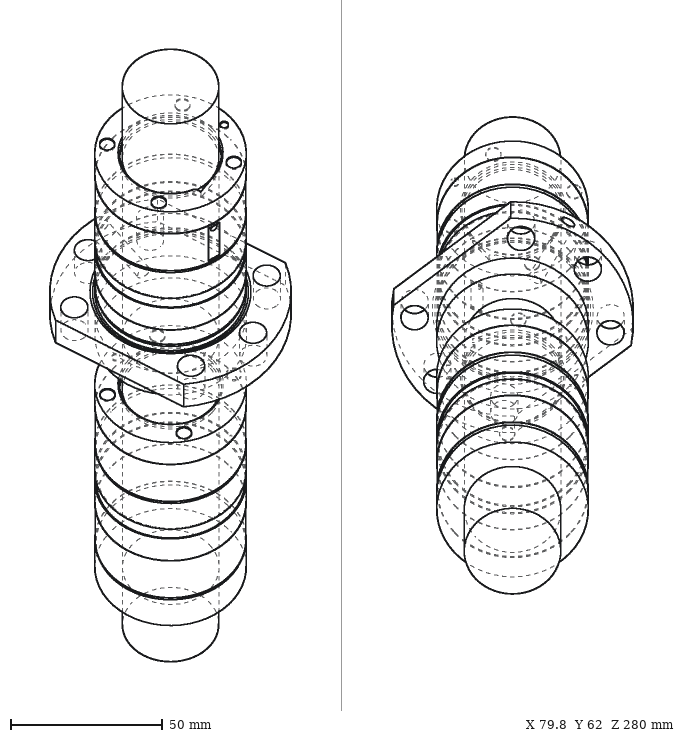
import cadquery as cq
import math

SHAFT_LENGTH = 280.0
SHAFT_DIAMETER = 32.0

FLANGED_NUT_TOP = 245.3
PLAIN_NUT_TOP = 125.2

RING_DIAMETER = 50.0
SLEEVE_DIAMETER = 49.8
SPACER_DIAMETER = 49.3
GROOVE_DIAMETER = 49.3
RING_HEIGHT = 11.5
SLEEVE_HEIGHT = 19.3
GROOVE_HEIGHT = 2.8
SPACER_HEIGHT = 5.0

SEAL_RECESS_DIAMETER = 33.5
SEAL_RECESS_DEPTH = 2.8
SEAL_RIM_DIAMETER = 34.7
SEAL_NOTCH_LENGTH = 8.5
SCREW_COUNT = 4
SCREW_CIRCLE_RADIUS = 21.3
SCREW_RECESS_DIAMETER = 5.0
SCREW_RECESS_DEPTH = 0.5
LOCATING_HOLE_DIAMETER = 2.8
LOCATING_HOLE_DEPTH = 0.5
LOCATING_HOLE_RADIUS = 21.5
LOCATING_HOLE_LEAD = 45.0

FLANGED_NUT_TURN = 22.5
PLAIN_NUT_TURN = 135.0

FLANGE_DIAMETER = 79.8
FLANGE_WIDTH = 62.0
FLANGE_HEIGHT = 11.8
FLANGE_RELIEF_DIAMETER = 53.2
FLANGE_RELIEF_FLOOR_DIAMETER = 51.5
FLANGE_RELIEF_DEPTH = 0.3
BOLT_HOLE_DIAMETER = 9.0
BOLT_CIRCLE_RADIUS = 32.5
BOLT_HOLE_ANGLES = [0, 45, 135, 180, 225, 315]
OIL_HOLE_DIAMETER = 4.8
OIL_HOLE_ANGLE = 157.5

SIDE_SLOT_ANGLE = -21.5
SIDE_SLOT_WIDTH = 4.5
SIDE_SLOT_DEPTH = 0.3
SIDE_SLOT_HEIGHT = 16.8
SIDE_SLOT_MARGIN = 1.7
SIDE_HOLE_DIAMETER = 2.5
SIDE_HOLE_DEPTH = 1.5


def polar(radius, angle):
    """Return the XY point at a radius and an angle in degrees."""
    turn = math.radians(angle)
    return radius * math.cos(turn), radius * math.sin(turn)


def cylinder(diameter, bottom, height):
    """Return an upright cylinder on the shaft axis."""
    return cq.Workplane("XY").workplane(offset=bottom).circle(diameter / 2).extrude(height)


def countersink(top, wide, narrow, depth):
    """Return an upside-down cone frustum that narrows downward from a top level."""
    return (
        cq.Workplane("XY")
        .workplane(offset=top)
        .circle(wide / 2)
        .workplane(offset=-depth)
        .circle(narrow / 2)
        .loft()
    )


def ring_stack(top, layers):
    """Stack cylinders downward from a top level; each layer is (diameter, height)."""
    stack = None
    level = top
    for diameter, height in layers:
        level -= height
        layer = cylinder(diameter, level, height)
        stack = layer if stack is None else stack.union(layer)
    return stack


def groove_ring(top):
    """Return the cutter for a shallow V groove around a nut."""
    middle = top - GROOVE_HEIGHT / 2
    rim = RING_DIAMETER / 2
    return (
        cq.Workplane("XZ")
        .polyline([(rim, top), (GROOVE_DIAMETER / 2, middle), (rim, top - GROOVE_HEIGHT)])
        .close()
        .revolve(360, (0, 0, 0), (0, 1, 0))
    )


def top_face_cutters(top, turn):
    """Return the cutter for the screw recesses, locating hole and seal recess in a nut's top face."""
    face = cq.Workplane("XY").workplane(offset=top)
    screw_points = [
        polar(SCREW_CIRCLE_RADIUS, turn + index * 360 / SCREW_COUNT) for index in range(SCREW_COUNT)
    ]
    screws = face.pushPoints(screw_points).circle(SCREW_RECESS_DIAMETER / 2).extrude(-SCREW_RECESS_DEPTH)
    locating_hole = (
        face.center(*polar(LOCATING_HOLE_RADIUS, turn + LOCATING_HOLE_LEAD))
        .circle(LOCATING_HOLE_DIAMETER / 2)
        .extrude(-LOCATING_HOLE_DEPTH)
    )
    rim_chamfer = (SEAL_RIM_DIAMETER - SEAL_RECESS_DIAMETER) / 2
    seal_recess = cylinder(SEAL_RECESS_DIAMETER, top - SEAL_RECESS_DEPTH, SEAL_RECESS_DEPTH)
    seal_recess = seal_recess.union(
        countersink(top, SEAL_RIM_DIAMETER, SEAL_RECESS_DIAMETER, rim_chamfer)
    )
    notch = (
        face.rect(SEAL_RIM_DIAMETER / 2, -SEAL_NOTCH_LENGTH, centered=False)
        .extrude(-SEAL_RECESS_DEPTH)
        .rotate((0, 0, 0), (0, 0, 1), turn - FLANGED_NUT_TURN)
    )
    return screws.union(locating_hole).union(seal_recess.union(notch))


def finish_nut(body, top, bottom, turn):
    """Cut the top face features and the shaft bore that both nuts share."""
    bore = cylinder(SHAFT_DIAMETER, bottom, top - bottom)
    return body.cut(top_face_cutters(top, turn)).cut(bore)


RING = (RING_DIAMETER, RING_HEIGHT)
SLEEVE = (SLEEVE_DIAMETER, SLEEVE_HEIGHT)
GROOVE_BAND = (RING_DIAMETER, GROOVE_HEIGHT)
SPACER = (SPACER_DIAMETER, SPACER_HEIGHT)
UPPER_LAYERS = [RING, SLEEVE, GROOVE_BAND, RING, SPACER, RING]
UPPER_LAYERS_HEIGHT = sum(height for _, height in UPPER_LAYERS)
UPPER_GROOVE_DROP = RING_HEIGHT + SLEEVE_HEIGHT
NUT_HEIGHT = UPPER_LAYERS_HEIGHT + SLEEVE_HEIGHT + GROOVE_HEIGHT + RING_HEIGHT


def make_shaft():
    return cylinder(SHAFT_DIAMETER, 0, SHAFT_LENGTH)


def make_plain_nut():
    top = PLAIN_NUT_TOP
    body = ring_stack(top, UPPER_LAYERS + [SLEEVE, GROOVE_BAND, RING])
    body = body.cut(groove_ring(top - UPPER_GROOVE_DROP))
    body = body.cut(groove_ring(top - UPPER_LAYERS_HEIGHT - SLEEVE_HEIGHT))
    return finish_nut(body, top, top - NUT_HEIGHT, PLAIN_NUT_TURN)


def make_flange(bottom):
    """Return the round flange with two flat sides, bolt holes and a relief around the nut."""
    flats = (
        cq.Workplane("XY")
        .workplane(offset=bottom)
        .rect(FLANGE_DIAMETER, FLANGE_WIDTH)
        .extrude(FLANGE_HEIGHT)
    )
    bolt_points = [polar(BOLT_CIRCLE_RADIUS, angle) for angle in BOLT_HOLE_ANGLES]
    bolt_holes = (
        cq.Workplane("XY")
        .workplane(offset=bottom)
        .pushPoints(bolt_points)
        .circle(BOLT_HOLE_DIAMETER / 2)
        .extrude(FLANGE_HEIGHT)
    )
    flange_top = bottom + FLANGE_HEIGHT
    relief = countersink(
        flange_top, FLANGE_RELIEF_DIAMETER, FLANGE_RELIEF_FLOOR_DIAMETER, FLANGE_RELIEF_DEPTH
    )
    return cylinder(FLANGE_DIAMETER, bottom, FLANGE_HEIGHT).intersect(flats).cut(bolt_holes).cut(relief)


def oil_hole(height):
    """Return the cutter for the radial hole from the flange rim to the bore."""
    return (
        cq.Workplane("YZ")
        .center(0, height)
        .circle(OIL_HOLE_DIAMETER / 2)
        .extrude(FLANGE_DIAMETER / 2)
        .rotate((0, 0, 0), (0, 0, 1), OIL_HOLE_ANGLE)
    )


def side_slot(top):
    """Return the cutter for the flat-bottomed upright slot and the small hole at its upper end."""
    floor = SLEEVE_DIAMETER / 2 - SIDE_SLOT_DEPTH
    slot = cq.Workplane("XY").box(
        SLEEVE_DIAMETER / 2, SIDE_SLOT_WIDTH, SIDE_SLOT_HEIGHT, centered=(False, True, False)
    ).translate((floor, 0, top - SIDE_SLOT_HEIGHT))
    hole = (
        cq.Workplane("YZ")
        .workplane(offset=floor - SIDE_HOLE_DEPTH)
        .center(0, top - SIDE_HOLE_DIAMETER / 2)
        .circle(SIDE_HOLE_DIAMETER / 2)
        .extrude(SIDE_HOLE_DEPTH)
    )
    return slot.union(hole).rotate((0, 0, 0), (0, 0, 1), SIDE_SLOT_ANGLE)


def make_flanged_nut():
    top = FLANGED_NUT_TOP
    neck = (SLEEVE_DIAMETER, SLEEVE_HEIGHT - FLANGE_HEIGHT)
    core = (RING_DIAMETER, FLANGE_HEIGHT)
    flange_bottom = top - NUT_HEIGHT + RING_HEIGHT
    flange_top = flange_bottom + FLANGE_HEIGHT
    body = ring_stack(top, UPPER_LAYERS + [neck, GROOVE_BAND, core, RING])
    body = body.union(make_flange(flange_bottom))
    body = body.cut(groove_ring(top - UPPER_GROOVE_DROP))
    body = body.cut(groove_ring(flange_top + GROOVE_HEIGHT))
    body = body.cut(oil_hole(flange_bottom + FLANGE_HEIGHT / 2))
    body = body.cut(side_slot(top - RING_HEIGHT - SIDE_SLOT_MARGIN))
    return finish_nut(body, top, top - NUT_HEIGHT, FLANGED_NUT_TURN)


shaft = make_shaft()
flanged_nut = make_flanged_nut()
plain_nut = make_plain_nut()

result = cq.Compound.makeCompound([shaft.val(), flanged_nut.val(), plain_nut.val()])